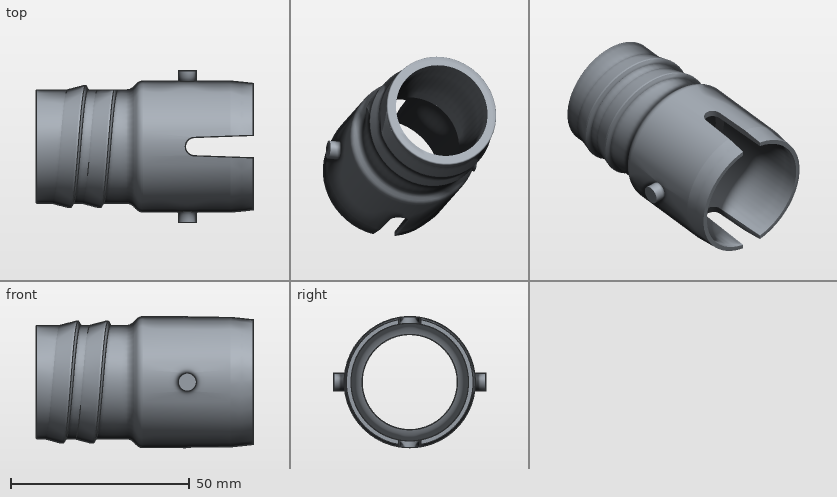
import cadquery as cq
import math


length = 60.96
pin_span = 42.67

neck_radius = 31.9 / 2
neck_bore_radius = 26.67 / 2
neck_rim_fillet = 0.4

shoulder_start = 25.5
shoulder_arc_radius = 2.54
shoulder_angle = math.radians(45)

body_radius = 36.83 / 2
body_bore_radius = 33.02 / 2
nose_radius = 35.56 / 2
nose_length = 6.35

thread_pitch = 8.4
thread_turns = 2
thread_start = 0.45
thread_rise_width = 4.55
thread_crest_width = 0.5
thread_fall_width = 0.7
thread_height = 1.2
thread_embed = 0.3

slot_length = 19.05
slot_tip_radius = 2.54
slot_taper = math.radians(2)

pin_radius = 5.08 / 2
pin_x = 42.42

arc_run = shoulder_arc_radius * math.sin(shoulder_angle)
arc_rise = shoulder_arc_radius * (1 - math.cos(shoulder_angle))
half_run = shoulder_arc_radius * math.sin(shoulder_angle / 2)
half_rise = shoulder_arc_radius * (1 - math.cos(shoulder_angle / 2))
cone_rise = body_radius - neck_radius - 2 * arc_rise
cone_run = cone_rise / math.tan(shoulder_angle)
shoulder_end = shoulder_start + 2 * arc_run + cone_run


def make_shell():
    """Solid of revolution for the outside of the neck, shoulder, body and nose."""
    profile = (
        cq.Workplane("XY")
        .lineTo(0, neck_radius)
        .lineTo(shoulder_start, neck_radius)
        .threePointArc(
            (shoulder_start + half_run, neck_radius + half_rise),
            (shoulder_start + arc_run, neck_radius + arc_rise),
        )
        .lineTo(shoulder_end - arc_run, body_radius - arc_rise)
        .threePointArc(
            (shoulder_end - half_run, body_radius - half_rise),
            (shoulder_end, body_radius),
        )
        .lineTo(length - nose_length, body_radius)
        .lineTo(length, nose_radius)
        .lineTo(length, 0)
        .close()
    )
    shell = profile.revolve(360, (0, 0, 0), (1, 0, 0))
    return shell.faces("<X").edges().fillet(neck_rim_fillet)


def make_thread():
    """Left-hand ridge of two turns whose ends run out flat, tangent to the neck at +Y."""
    root = neck_radius - thread_embed
    crest = neck_radius + thread_height
    crest_start = thread_rise_width
    crest_end = crest_start + thread_crest_width
    foot_end = crest_end + thread_fall_width

    helix = cq.Wire.makeHelix(thread_pitch, thread_turns * thread_pitch, neck_radius, lefthand=True)
    ridge = (
        cq.Workplane("XZ")
        .moveTo(root, 0)
        .lineTo(neck_radius, 0)
        .lineTo(crest, crest_start)
        .lineTo(crest, crest_end)
        .lineTo(neck_radius, foot_end)
        .lineTo(root, foot_end)
        .close()
        .sweep(cq.Workplane(helix), isFrenet=True)
        .rotate((0, 0, 0), (0, 0, 1), 90)
        .rotate((0, 0, 0), (0, 1, 0), 90)
        .translate((thread_start, 0, 0))
    )

    quarter_advance = thread_pitch / 4
    cutter_length = thread_pitch * (thread_turns + 1)
    first_end_x = thread_start + foot_end + quarter_advance
    last_start_x = thread_start + thread_turns * thread_pitch - quarter_advance
    cutter = cq.Workplane("XY").box(cutter_length, neck_radius, neck_radius, centered=False)
    first_cutter = cutter.translate((first_end_x - cutter_length, neck_radius, -neck_radius))
    last_cutter = cutter.translate((last_start_x, neck_radius, 0))
    return ridge.cut(first_cutter).cut(last_cutter)


def make_pins():
    """One cylinder across the body along Y; the bores later clear its middle."""
    return (
        cq.Workplane("XZ")
        .center(pin_x, 0)
        .circle(pin_radius)
        .extrude(pin_span / 2, both=True)
    )


def make_bores():
    """Neck bore through the whole part and the wider bore of the body."""
    neck_bore = cq.Workplane("YZ").circle(neck_bore_radius).extrude(length)
    body_bore = (
        cq.Workplane("YZ")
        .workplane(offset=shoulder_end)
        .circle(body_bore_radius)
        .extrude(length - shoulder_end)
    )
    return neck_bore.union(body_bore)


def make_slots():
    """Round-tipped cutter, widening toward the open end, through the top and bottom walls."""
    tip_x = length - slot_length
    center_x = tip_x + slot_tip_radius
    tangent_x = center_x - slot_tip_radius * math.sin(slot_taper)
    tangent_y = slot_tip_radius * math.cos(slot_taper)
    mouth_y = tangent_y + (length - tangent_x) * math.tan(slot_taper)
    return (
        cq.Workplane("XY")
        .moveTo(length, -mouth_y)
        .lineTo(tangent_x, -tangent_y)
        .threePointArc((tip_x, 0), (tangent_x, tangent_y))
        .lineTo(length, mouth_y)
        .close()
        .extrude(body_radius, both=True)
    )


result = (
    make_shell()
    .union(make_thread())
    .union(make_pins())
    .cut(make_bores())
    .cut(make_slots())
)